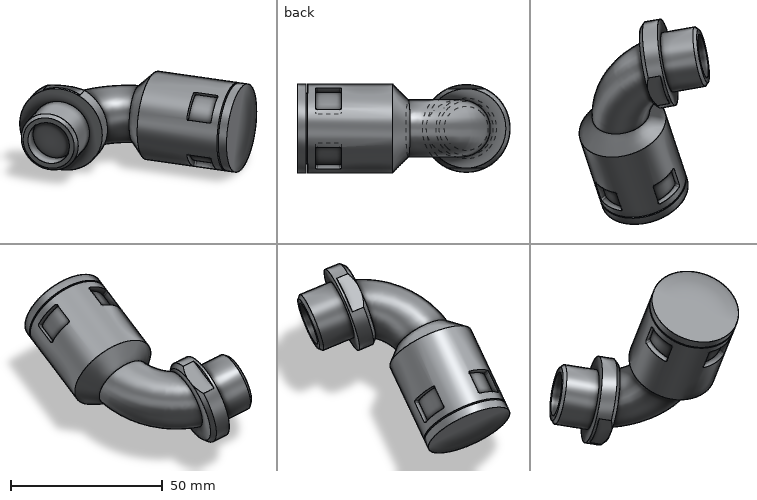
import cadquery as cq
import math

overall_length = 70.2

body_radius = 14.75
cone_tip_radius = 7.7
cone_end_x = 24.35
cap_length = 2.9
groove_width = 0.5
groove_radius = 23.4 / 2

elbow_bend_radius = 25.0
elbow_radius = 9.5

flange_radius = 29.0 / 2
flange_top_y = -14.8
flange_bottom_y = -21.3
flange_chamfer = 1.4
flats_width = 26.0
flats_rim = 1.0
spigot_radius = 20.0 / 2
spigot_end_y = -33.3
spigot_chamfer = 1.05
bore_radius = 14.5 / 2
bore_depth = 5.0

cap_end_x = overall_length - flange_radius

window_count = 4
window_start_x = 41.2
window_length = 8.5
window_width = 10.05
window_floor_radius = 12.8
window_corner_radius = 0.55
window_clearance = 0.7


def make_body():
    """Body with a 45 degree cone at the elbow and a cap behind a narrow groove."""
    cone_start_x = cone_end_x - (body_radius - cone_tip_radius)
    cap_start_x = cap_end_x - cap_length
    groove_start_x = cap_start_x - groove_width
    profile = [
        (cone_start_x, 0),
        (cone_start_x, cone_tip_radius),
        (cone_end_x, body_radius),
        (groove_start_x, body_radius),
        (groove_start_x, groove_radius),
        (cap_start_x, groove_radius),
        (cap_start_x, body_radius),
        (cap_end_x, body_radius),
        (cap_end_x, 0),
    ]
    return cq.Workplane("XY").polyline(profile).close().revolve(360, (0, 0, 0), (1, 0, 0))


def make_windows():
    """Four shallow pockets with a cylindrical floor, at 45 degrees between the axes."""
    window = (
        cq.Workplane("XY", origin=(window_start_x + window_length / 2, 0, 0))
        .rect(window_length, window_width)
        .extrude(body_radius + window_clearance)
        .edges("|Z")
        .fillet(window_corner_radius)
    )
    core = cq.Workplane("YZ").circle(window_floor_radius).extrude(cap_end_x)
    window = window.cut(core)
    spacing = 360 / window_count
    windows = cq.Workplane("XY")
    for index in range(window_count):
        windows = windows.add(window.rotate((0, 0, 0), (1, 0, 0), spacing * (index + 0.5)))
    return windows.combine()


def make_elbow():
    """Quarter bend from the spigot axis to the body axis."""
    middle = elbow_bend_radius * math.sqrt(0.5)
    path = (
        cq.Workplane("XY")
        .moveTo(0, -elbow_bend_radius)
        .threePointArc(
            (elbow_bend_radius - middle, middle - elbow_bend_radius),
            (elbow_bend_radius, 0),
        )
    )
    section = cq.Workplane("XZ", origin=(0, -elbow_bend_radius, 0)).circle(elbow_radius)
    return section.sweep(path)


def make_flange():
    """Chamfered round flange with two wrench flats that stop above a thin round rim."""
    height = flange_top_y - flange_bottom_y
    flange = (
        cq.Workplane("XZ", origin=(0, flange_top_y, 0))
        .circle(flange_radius)
        .extrude(height)
        .faces(">Y")
        .chamfer(flange_chamfer)
    )
    flats = (
        cq.Workplane("XZ", origin=(0, flange_top_y, 0))
        .rect(2 * flange_radius, flats_width)
        .extrude(height)
    )
    rim = (
        cq.Workplane("XZ", origin=(0, flange_bottom_y + flats_rim, 0))
        .circle(flange_radius)
        .extrude(flats_rim)
    )
    return flange.intersect(flats.union(rim))


def make_spigot():
    """Round spigot below the flange, chamfered at its free end."""
    return (
        cq.Workplane("XZ", origin=(0, flange_bottom_y, 0))
        .circle(spigot_radius)
        .extrude(flange_bottom_y - spigot_end_y)
        .faces("<Y")
        .chamfer(spigot_chamfer)
    )


def make_bore():
    """Blind hole in the free end of the spigot."""
    return (
        cq.Workplane("XZ", origin=(0, spigot_end_y + bore_depth, 0))
        .circle(bore_radius)
        .extrude(bore_depth)
    )


result = make_body().cut(make_windows()).union(make_elbow())
result = result.union(make_flange()).union(make_spigot()).cut(make_bore())